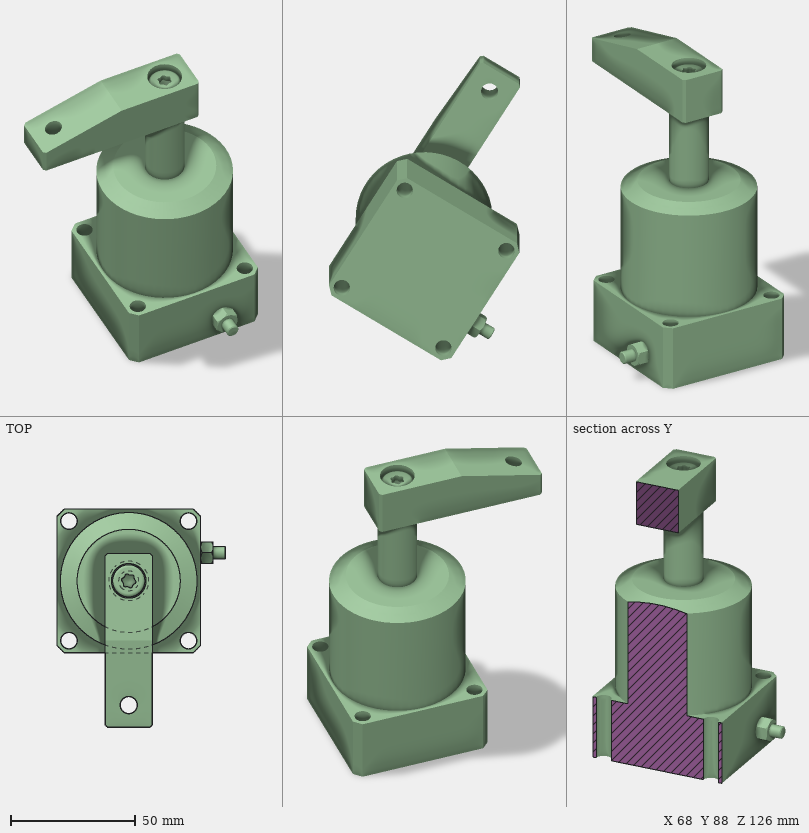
import cadquery as cq
import math

base_side = 58.0
base_height = 27.0
base_corner_chamfer = 3.0
mount_hole_spacing = 48.1
mount_hole_diameter = 6.5
barrel_diameter = 55.0
barrel_edge_z = 72.1
barrel_top_z = 75.0
barrel_top_diameter = 41.6

rod_diameter = 16.0

total_height = 126.0
arm_height = 19.0
arm_width = 19.0
arm_back_y = 11.1
arm_tip_y = -59.0
arm_slope_start_y = -24.1
arm_tip_height = 10.0
arm_corner_chamfer = 1.0
tip_hole_y = -50.0
tip_hole_diameter = 6.8
arm_bottom_z = total_height - arm_height

counterbore_diameter = 14.0
head_diameter = 13.0
head_height = 8.1
head_fillet = 1.3
head_recess = 2.1
shank_diameter = 8.1
shank_depth_in_rod = 12.6
socket_lobes = 6
socket_lobe_diameter = 5.8
socket_waist_diameter = 4.8
socket_depth = 2.5
socket_cone_depth = 1.3
socket_angle = -11.0
head_top_z = total_height - head_recess
head_seat_z = head_top_z - head_height
shank_bottom_z = arm_bottom_z - shank_depth_in_rod

fitting_y = 11.3
fitting_z = 10.0
hex_across_flats = 8.8
hex_length = 5.0
hex_chamfer = 0.6
stub_diameter = 5.2
stub_length = 5.0
stub_chamfer = 0.4


def hexagon_diameter(across_flats):
    """Diameter across the corners of a regular hexagon."""
    return across_flats / math.cos(math.pi / 6)


def cylinder(diameter, bottom_z, top_z):
    """Upright cylinder on the main axis."""
    return cq.Workplane("XY").workplane(offset=bottom_z).circle(diameter / 2).extrude(top_z - bottom_z)


def make_housing():
    base = cq.Workplane("XY").rect(base_side, base_side).extrude(base_height)
    base = base.edges("|Z").chamfer(base_corner_chamfer)
    mount_holes = (
        cq.Workplane("XY")
        .rect(mount_hole_spacing, mount_hole_spacing, forConstruction=True)
        .vertices()
        .circle(mount_hole_diameter / 2)
        .extrude(base_height)
    )
    barrel = (
        cq.Workplane("XZ")
        .moveTo(0, base_height)
        .lineTo(barrel_diameter / 2, base_height)
        .lineTo(barrel_diameter / 2, barrel_edge_z)
        .lineTo(barrel_top_diameter / 2, barrel_top_z)
        .lineTo(0, barrel_top_z)
        .close()
        .revolve(360, (0, 0, 0), (0, 1, 0))
    )
    return base.cut(mount_holes).union(barrel)


def make_rod():
    rod = cylinder(rod_diameter, barrel_top_z, arm_bottom_z)
    return rod.cut(cylinder(shank_diameter, shank_bottom_z, arm_bottom_z))


def make_arm():
    side_outline = [
        (arm_back_y, arm_bottom_z),
        (arm_back_y, total_height),
        (arm_slope_start_y, total_height),
        (arm_tip_y, arm_bottom_z + arm_tip_height),
        (arm_tip_y, arm_bottom_z),
    ]
    arm = cq.Workplane("YZ").polyline(side_outline).close().extrude(arm_width / 2, both=True)
    arm = arm.edges("|Z").chamfer(arm_corner_chamfer)
    tip_hole = cylinder(tip_hole_diameter, arm_bottom_z, total_height).translate((0, tip_hole_y, 0))
    counterbore = cylinder(counterbore_diameter, head_seat_z, total_height)
    shank_hole = cylinder(shank_diameter, arm_bottom_z, head_seat_z)
    return arm.cut(tip_hole).cut(counterbore).cut(shank_hole)


def polar_point(radius, angle):
    """Point at a radius and an angle in degrees."""
    return (radius * math.cos(math.radians(angle)), radius * math.sin(math.radians(angle)))


def make_socket():
    """Six-lobed recess with a conical bottom."""
    wall_bottom_z = head_top_z - socket_depth
    apex_z = wall_bottom_z - socket_cone_depth
    lobe_pitch = 360 / socket_lobes
    lobe_radius = socket_lobe_diameter / 2
    waist_radius = socket_waist_diameter / 2
    joint_radius = (lobe_radius + waist_radius) / 2
    quarter_pitch = lobe_pitch / 4
    outline = (
        cq.Workplane("XY")
        .workplane(offset=apex_z)
        .moveTo(*polar_point(joint_radius, socket_angle - quarter_pitch))
    )
    for lobe in range(socket_lobes):
        lobe_angle = socket_angle + lobe * lobe_pitch
        outline = outline.threePointArc(
            polar_point(lobe_radius, lobe_angle),
            polar_point(joint_radius, lobe_angle + quarter_pitch),
        ).threePointArc(
            polar_point(waist_radius, lobe_angle + 2 * quarter_pitch),
            polar_point(joint_radius, lobe_angle + 3 * quarter_pitch),
        )
    lobed_prism = outline.close().extrude(socket_depth + socket_cone_depth)
    drilled_hole = (
        cq.Workplane("XZ")
        .moveTo(0, head_top_z)
        .lineTo(lobe_radius, head_top_z)
        .lineTo(lobe_radius, wall_bottom_z)
        .lineTo(0, apex_z)
        .close()
        .revolve(360, (0, 0, 0), (0, 1, 0))
    )
    return lobed_prism.intersect(drilled_hole)


def make_screw():
    head = cylinder(head_diameter, head_seat_z, head_top_z).faces(">Z").edges().fillet(head_fillet)
    shank = cylinder(shank_diameter, shank_bottom_z, head_seat_z)
    return head.union(shank).cut(make_socket())


def make_fitting():
    face = cq.Workplane("YZ", origin=(base_side / 2, fitting_y, fitting_z))
    corner_diameter = hexagon_diameter(hex_across_flats)
    collar = face.transformed(rotate=(0, 0, 90)).polygon(6, corner_diameter).extrude(hex_length)
    envelope = face.circle(corner_diameter / 2).extrude(hex_length)
    envelope = envelope.faces("<X or >X").chamfer(hex_chamfer)
    stub = face.workplane(offset=hex_length).circle(stub_diameter / 2).extrude(stub_length)
    stub = stub.faces(">X").chamfer(stub_chamfer)
    return collar.intersect(envelope).union(stub)


housing = make_housing()
rod = make_rod()
arm = make_arm()
screw = make_screw()
fitting = make_fitting()

result = cq.Compound.makeCompound([housing.val(), rod.val(), arm.val(), screw.val(), fitting.val()])